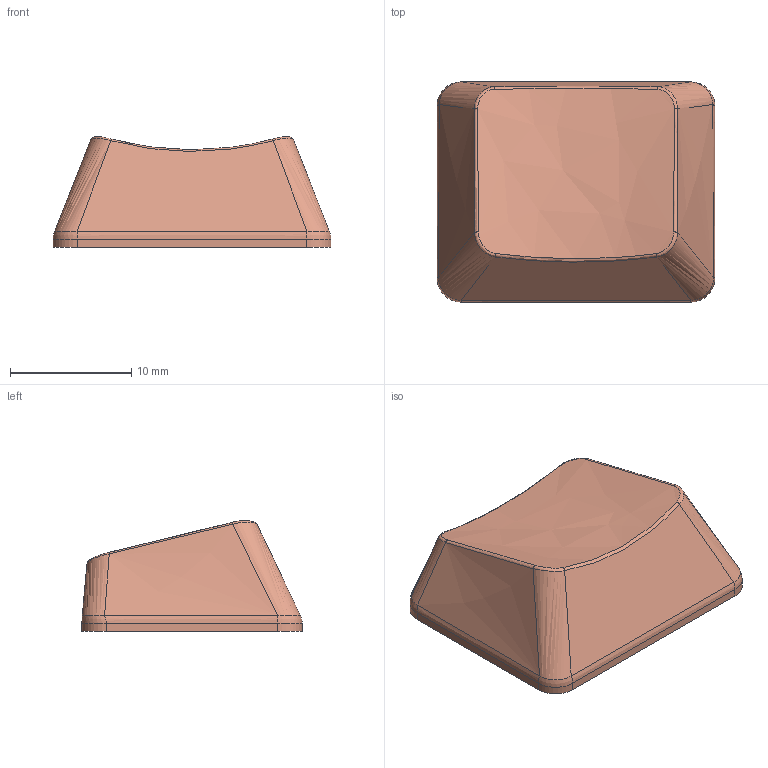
import cadquery as cq
import math

base_width = 22.92
base_depth = 18.16
base_corner_radius = 2.0
wall_corner_radius = 1.85
skirt_height = 1.0
blend_half_height = 0.33

tilt_angle = 14.0
rim_height = 8.34
rim_half_width = 8.25
rim_front_y = -5.0
rim_back_y = 8.6
rim_corner_radius = 1.85

dish_front_depth = 1.65
dish_back_depth = 1.03
dish_half_width = 8.55
dish_overrun = 1.0
dish_cutter_height = 4.0

rim_fillet_radius = 0.25

tilt = math.radians(tilt_angle)
rim_plane = cq.Plane(origin=(0, 0, rim_height), xDir=(1, 0, 0)).rotated((-tilt_angle, 0, 0))


def rounded_outline(front_half_width, front_y, back_half_width, back_y, radius, plane):
    """Closed wire of a trapezoid with rounded corners, symmetric about X = 0."""
    corners = [
        (-front_half_width, front_y),
        (front_half_width, front_y),
        (back_half_width, back_y),
        (-back_half_width, back_y),
        (-front_half_width, front_y),
    ]
    face = cq.Sketch().polygon(corners).vertices().fillet(radius)._faces.Faces()[0]
    return face.outerWire().moved(plane.location)


def level_plane(height):
    return cq.Plane(origin=(0, 0, height))


def leaning_outline(lean_height, level):
    """Outline at height level, moved in as far as the walls lean over lean_height."""
    half_width = base_width / 2
    half_depth = base_depth / 2
    rim_front_z = rim_height - rim_front_y * math.tan(tilt)
    rim_back_z = rim_height - rim_back_y * math.tan(tilt)
    front_share = lean_height / (rim_front_z - skirt_height)
    back_share = lean_height / (rim_back_z - skirt_height)
    radius_share = lean_height / blend_half_height
    return rounded_outline(
        half_width + front_share * (rim_half_width - half_width),
        -half_depth + front_share * (rim_front_y + half_depth),
        half_width + back_share * (rim_half_width - half_width),
        half_depth + back_share * (rim_back_y - half_depth),
        base_corner_radius + radius_share * (wall_corner_radius - base_corner_radius),
        level_plane(level),
    )


def make_skirt():
    """Upright band at the foot of the keycap."""
    outline = cq.Sketch().rect(base_width, base_depth).vertices().fillet(base_corner_radius)
    return cq.Workplane("XY").placeSketch(outline).extrude(skirt_height - blend_half_height)


def make_blend():
    """Parabolic rounding, tangent to the skirt below and to the walls above."""
    middle_lean_height = blend_half_height / 4
    sections = [
        leaning_outline(0, skirt_height - blend_half_height),
        leaning_outline(middle_lean_height, skirt_height),
        leaning_outline(blend_half_height, skirt_height + blend_half_height),
    ]
    return cq.Workplane(cq.Solid.makeLoft(sections))


def make_walls():
    """Straight-ruled walls from the blend up to the tilted rim."""
    bottom = leaning_outline(blend_half_height, skirt_height + blend_half_height)
    top = rounded_outline(
        rim_half_width,
        rim_front_y / math.cos(tilt),
        rim_half_width,
        rim_back_y / math.cos(tilt),
        rim_corner_radius,
        rim_plane,
    )
    return cq.Workplane(cq.Solid.makeLoft([bottom, top], True))


def dish_profile(depth, distance):
    """Cutter outline square to the slope: an arc that dips by depth below the rim plane."""
    plane = cq.Plane(
        origin=rim_plane.toWorldCoords((0, distance, 0)),
        xDir=(1, 0, 0),
        normal=-rim_plane.yDir,
    )
    profile = (
        cq.Workplane(plane)
        .moveTo(-dish_half_width, 0)
        .threePointArc((0, -depth), (dish_half_width, 0))
        .lineTo(dish_half_width, dish_cutter_height)
        .lineTo(-dish_half_width, dish_cutter_height)
        .close()
    )
    return profile.val()


def make_dish_cutter():
    """Arched trough that follows the slope of the top."""
    front = dish_profile(dish_front_depth, rim_front_y / math.cos(tilt) - dish_overrun)
    back = dish_profile(dish_back_depth, rim_back_y / math.cos(tilt) + dish_overrun)
    return cq.Workplane(cq.Solid.makeLoft([front, back], True))


dished_walls = make_walls().cut(make_dish_cutter())
rounded_walls = dished_walls.faces(">Z").edges().fillet(rim_fillet_radius)

result = make_skirt().union(make_blend()).union(rounded_walls)